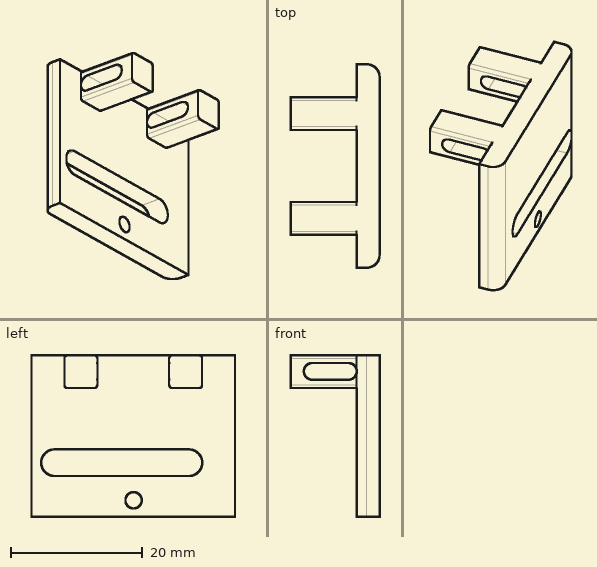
import cadquery as cq

plate_thickness = 3.5
plate_width = 30.9
plate_height = 24.5
front_edge_radius = 2.0

arm_length = 10.0
arm_size = 5.0
arm_edge_inset = 5.0
arm_corner_radius = 0.5
arm_center_y = plate_width / 2 - arm_edge_inset - arm_size / 2
arm_center_z = plate_height - arm_size / 2

arm_slot_length = 8.0
arm_slot_height = 2.5
arm_slot_top_wall = 1.2
arm_slot_center_z = plate_height - arm_slot_top_wall - arm_slot_height / 2

plate_slot_height = 4.0
plate_slot_end_inset = 1.5
plate_slot_max_y = plate_width / 2 - plate_slot_end_inset
plate_slot_min_y = -(arm_center_y + arm_size / 2)
plate_slot_length = plate_slot_max_y - plate_slot_min_y
plate_slot_center_y = (plate_slot_max_y + plate_slot_min_y) / 2
plate_slot_center_z = 8.2

hole_diameter = 2.45
hole_side_inset = 15.5
hole_center_y = plate_width / 2 - hole_side_inset
hole_center_z = 2.5


def make_plate():
    """Plate with its two upright front edges rounded."""
    plate = cq.Workplane("XY").box(
        plate_thickness, plate_width, plate_height, centered=(False, True, False)
    )
    return plate.edges("|Z and >X").fillet(front_edge_radius)


def make_arm(center_y):
    """Bar along -X with rounded long edges and a slot through it along Y."""
    arm = (
        cq.Workplane("YZ")
        .center(center_y, arm_center_z)
        .rect(arm_size, arm_size)
        .extrude(-arm_length)
        .edges("|X")
        .fillet(arm_corner_radius)
    )
    slot = (
        cq.Workplane("XZ", origin=(0, center_y, 0))
        .center(-arm_slot_length / 2, arm_slot_center_z)
        .slot2D(arm_slot_length, arm_slot_height)
        .extrude(arm_size, both=True)
    )
    return arm.cut(slot)


def make_plate_slot():
    """Cutter for the long slot through the plate."""
    return (
        cq.Workplane("YZ")
        .center(plate_slot_center_y, plate_slot_center_z)
        .slot2D(plate_slot_length, plate_slot_height)
        .extrude(plate_thickness)
    )


def make_hole():
    """Cutter for the round hole through the plate."""
    return (
        cq.Workplane("YZ")
        .center(hole_center_y, hole_center_z)
        .circle(hole_diameter / 2)
        .extrude(plate_thickness)
    )


result = make_plate()
for side in (-1, 1):
    result = result.union(make_arm(side * arm_center_y))
result = result.cut(make_plate_slot()).cut(make_hole())